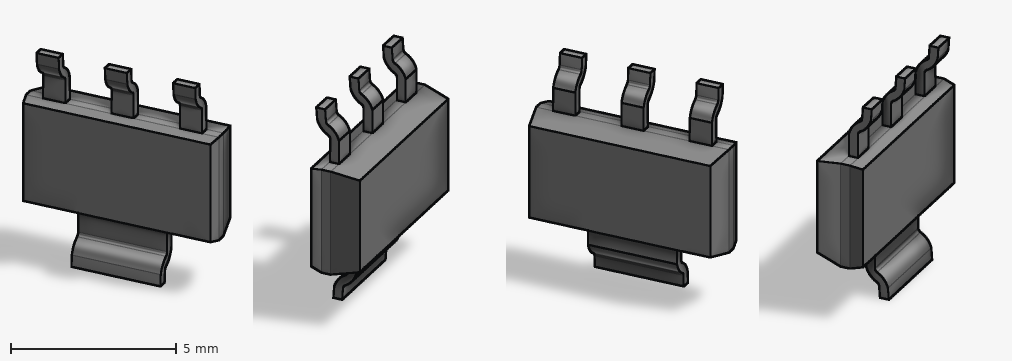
import cadquery as cq

body_width = 6.5
body_height = 3.5
band_depth = 0.315
back_depth = 0.89
back_inset = 0.195
front_depth = 0.39
front_inset = 0.09

overall_height = 7.0
overall_depth = 1.66
lead_thickness = 0.3
lead_width = 0.75
lead_pitch = 2.3
lead_count = 3
tab_width = 3.0

straight_length = 0.785
outer_bend_shift = 0.365
outer_bend_rise = 0.455
outer_bend_bulge = 0.0595
inner_bend_shift = 0.08
inner_bend_rise = 0.12
inner_bend_bulge = 0.0195

bend_start = body_height / 2 + straight_length
bend_end = bend_start + outer_bend_rise + inner_bend_rise
bend_shift = outer_bend_shift + inner_bend_shift
tip_z = overall_height / 2
tip_front = back_depth - overall_depth


def tapered_half(depth, inset):
    """Frustum from the full outline at Y = 0 to the inset outline at Y = -depth."""
    return (
        cq.Workplane("XZ")
        .rect(body_width, body_height)
        .workplane(offset=depth)
        .rect(body_width - 2 * inset, body_height - 2 * inset)
        .loft(ruled=True)
    )


def make_body():
    band = cq.Workplane("XZ").rect(body_width, body_height).extrude(band_depth)
    front = tapered_half(front_depth, front_inset).translate((0, -band_depth, 0))
    back = tapered_half(back_depth, back_inset).mirror("XZ")
    return band.union(front).union(back)


def lead_profile():
    """Side outline of an upward lead; each long edge has one wide and one tight bend."""
    back_bend = (-outer_bend_shift, bend_start + outer_bend_rise)
    front_bend = (-lead_thickness - inner_bend_shift, bend_start + inner_bend_rise)
    return (
        cq.Workplane("YZ")
        .lineTo(0, bend_start)
        .sagittaArc(back_bend, -outer_bend_bulge)
        .sagittaArc((-bend_shift, bend_end), inner_bend_bulge)
        .lineTo(tip_front + lead_thickness, tip_z)
        .lineTo(tip_front, tip_z)
        .lineTo(-lead_thickness - bend_shift, bend_end)
        .sagittaArc(front_bend, -outer_bend_bulge)
        .sagittaArc((-lead_thickness, bend_start), inner_bend_bulge)
        .lineTo(-lead_thickness, 0)
        .close()
    )


def make_lead(width):
    return lead_profile().extrude(width / 2, both=True)


result = make_body()
for index in range(lead_count):
    lead_x = (index - (lead_count - 1) / 2) * lead_pitch
    result = result.union(make_lead(lead_width).translate((lead_x, 0, 0)))
result = result.union(make_lead(tab_width).mirror("XY"))